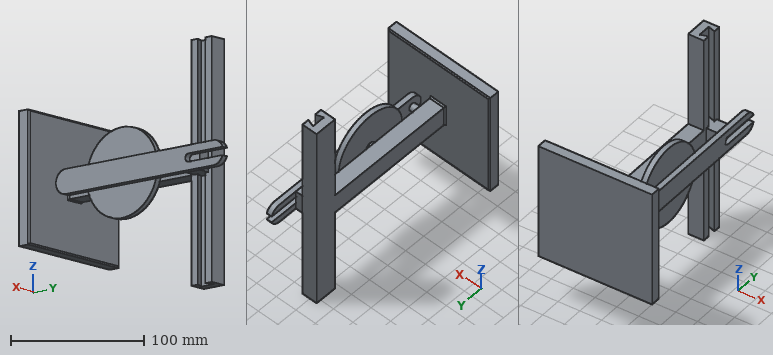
import cadquery as cq

plate_size = 104.3
plate_thickness = 10.0
plate_chamfer = 1.1
arm_width = 14.5
arm_height = 19.4
arm_base_chamfer = 1.7
arm_base_flare = 0.8
post_height = 189.7
post_depth = 20.5
post_near_y = 132.2
arm_face_x = arm_width / 2
post_center_y = post_near_y + post_depth / 2

dovetail_neck = 7.4
dovetail_root = 12.0
dovetail_floor_x = 0.4

lever_near_x = 17.0
lever_thickness = 5.1
lever_width = arm_height
lever_radius = lever_width / 2
pivot_y = 20.5
lever_end_y = 167.1
pivot_pin_diameter = 7.0
slot_width = 6.5
disc_diameter = 70.2
disc_thickness = 5.0
disc_center_y = 72.0
shaft_diameter = 10.0
slider_width = 13.7
slider_height = arm_height
disc_near_x = lever_near_x - disc_thickness


def box(x0, x1, y0, y1, height):
    """Box between two X and two Y positions, centred on Z = 0."""
    return (
        cq.Workplane("XY")
        .box(x1 - x0, y1 - y0, height, centered=(False, False, True))
        .translate((x0, y0, 0))
    )


def rod(diameter, y, x0, x1):
    """Cylinder along X between two X positions."""
    return cq.Workplane("YZ", origin=(x0, y, 0)).circle(diameter / 2).extrude(x1 - x0)


def dovetail(height):
    """Dovetail prism along Z, narrowing toward the guide face of the post."""
    half_root = dovetail_root / 2
    half_neck = dovetail_neck / 2
    return (
        cq.Workplane("XY", origin=(0, post_center_y, 0))
        .polyline([
            (dovetail_floor_x, -half_root),
            (arm_face_x, -half_neck),
            (arm_face_x, half_neck),
            (dovetail_floor_x, half_root),
        ])
        .close()
        .extrude(height / 2, both=True)
    )


def make_frame():
    plate = box(-plate_size / 2, plate_size / 2, 0, plate_thickness, plate_size)
    plate = plate.faces(">Y").chamfer(plate_chamfer)
    arm = box(-arm_face_x, arm_face_x, plate_thickness, post_near_y, arm_height)
    collar = (
        cq.Workplane("XZ", origin=(0, plate_thickness, 0))
        .rect(arm_width + 2 * arm_base_flare, arm_height + 2 * arm_base_flare)
        .workplane(offset=-arm_base_chamfer)
        .rect(arm_width, arm_height)
        .loft(ruled=True)
    )
    post = box(-arm_face_x, arm_face_x, post_near_y, post_near_y + post_depth, post_height)
    return plate.union(arm).union(collar).union(post).cut(dovetail(post_height))


def make_disc():
    disc = rod(disc_diameter, disc_center_y, disc_near_x, lever_near_x)
    return disc.union(rod(shaft_diameter, disc_center_y, arm_face_x, disc_near_x))


def make_lever():
    far_x = lever_near_x + lever_thickness
    lever = box(lever_near_x, far_x, pivot_y, lever_end_y, lever_width)
    for end_y in (pivot_y, lever_end_y):
        lever = lever.union(rod(lever_width, end_y, lever_near_x, far_x))
    slot = box(lever_near_x, far_x, post_center_y, lever_end_y + lever_radius, slot_width)
    slot = slot.union(rod(slot_width, post_center_y, lever_near_x, far_x))
    pivot_pin = rod(pivot_pin_diameter, pivot_y, arm_face_x, lever_near_x)
    return lever.cut(slot).union(pivot_pin)


def make_slider():
    near_y = post_center_y - slider_width / 2
    block = box(arm_face_x, lever_near_x, near_y, near_y + slider_width, slider_height)
    return block.union(dovetail(slider_height))


frame = make_frame()
disc = make_disc()
lever = make_lever()
slider = make_slider()

result = cq.Compound.makeCompound([frame.val(), disc.val(), lever.val(), slider.val()])